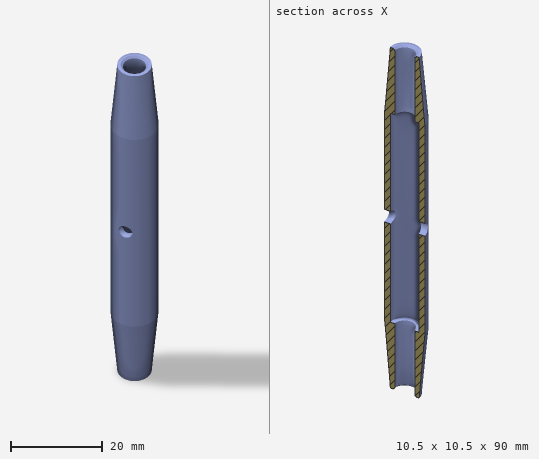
import cadquery as cq

length = 90.0
body_diameter = 10.5
tip_diameter = 7.6
taper_length = 17.5

bore_diameter = 5.0
countersink_diameter = 6.0

chamber_diameter = 7.3

cross_hole_diameter = 3.2

half_length = length / 2
body_radius = body_diameter / 2
tip_radius = tip_diameter / 2
bore_radius = bore_diameter / 2
chamber_radius = chamber_diameter / 2
countersink_radius = countersink_diameter / 2
shoulder_height = half_length - taper_length
countersink_depth = countersink_radius - bore_radius


def make_sleeve():
    """Revolve the wall section: a hollow straight body between two tapered, bored ends."""
    upper_points = [
        (body_radius, shoulder_height),
        (tip_radius, half_length),
        (countersink_radius, half_length),
        (bore_radius, half_length - countersink_depth),
        (bore_radius, shoulder_height),
        (chamber_radius, shoulder_height),
    ]
    lower_points = [(radius, -height) for radius, height in reversed(upper_points)]
    section = cq.Workplane("XZ").polyline(upper_points + lower_points).close()
    return section.revolve(360, (0, 0, 0), (0, 1, 0))


def make_cross_hole():
    """Cylinder along Y that passes through both walls."""
    return cq.Workplane("XZ").circle(cross_hole_diameter / 2).extrude(body_diameter, both=True)


result = make_sleeve().cut(make_cross_hole())